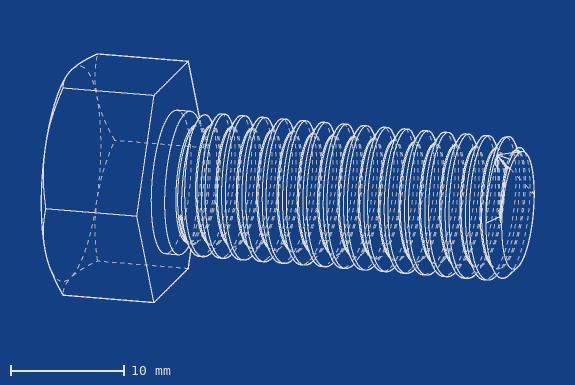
import cadquery as cq
import math

bolt_length = 41.0
across_flats = 19.05
head_height = 9.2
head_chamfer_angle = 30.0

thread_diameter = 12.7
thread_turns = 16
thread_depth = 1.05
flank_width = 0.7
root_width = 0.12

shoulder_length = 1.25
relief_depth = 1.15
relief_root_width = 0.15
tip_chamfer = 1.15
seam_angle = 37.0
cutter_overshoot = 0.1

across_corners = across_flats / math.cos(math.radians(30))
thread_radius = thread_diameter / 2
root_radius = thread_radius - thread_depth
relief_radius = thread_radius - relief_depth
thread_start = head_height + shoulder_length + flank_width
groove_start = thread_start + root_width / 2
thread_pitch = (bolt_length - groove_start) / thread_turns


def make_head():
    """Hexagon with corners on +Y and -Y, its outer face chamfered by a cone."""
    hexagon = cq.Workplane("YZ").polygon(6, across_corners).extrude(head_height)
    face_radius = across_flats / 2
    corner_radius = across_corners / 2
    chamfer_length = (corner_radius - face_radius) * math.tan(math.radians(head_chamfer_angle))
    envelope = (
        cq.Workplane("XY")
        .moveTo(0, 0)
        .lineTo(0, face_radius)
        .lineTo(2 * chamfer_length, 2 * corner_radius - face_radius)
        .lineTo(head_height, 2 * corner_radius - face_radius)
        .lineTo(head_height, 0)
        .close()
        .revolve(360, (0, 0, 0), (1, 0, 0))
    )
    return hexagon.intersect(envelope)


def make_shank_envelope():
    """Plain shoulder, V-shaped relief groove, threaded length and chamfered tip."""
    return (
        cq.Workplane("XY")
        .moveTo(head_height, 0)
        .lineTo(head_height, thread_radius)
        .lineTo(head_height + shoulder_length, thread_radius)
        .lineTo(thread_start, relief_radius)
        .lineTo(thread_start + relief_root_width, relief_radius)
        .lineTo(thread_start + relief_root_width + flank_width, thread_radius)
        .lineTo(bolt_length - tip_chamfer, thread_radius)
        .lineTo(bolt_length, thread_radius - tip_chamfer)
        .lineTo(bolt_length, 0)
        .close()
        .revolve(360, (0, 0, 0), (1, 0, 0))
    )


def make_thread_cutter():
    """Right-hand helical groove that starts in the relief and runs out past the tip."""
    groove_length = bolt_length - groove_start + thread_pitch
    helix = cq.Wire.makeHelix(thread_pitch, groove_length, root_radius)
    outer_radius = thread_radius + cutter_overshoot
    half_root = root_width / 2
    half_mouth = half_root + flank_width * (outer_radius - root_radius) / thread_depth
    cutter = (
        cq.Workplane("XZ")
        .moveTo(root_radius, -half_root)
        .lineTo(outer_radius, -half_mouth)
        .lineTo(outer_radius, half_mouth)
        .lineTo(root_radius, half_root)
        .close()
        .sweep(cq.Workplane(obj=helix), isFrenet=True)
    )
    return (
        cutter.rotate((0, 0, 0), (0, 1, 0), 90)
        .rotate((0, 0, 0), (1, 0, 0), -90)
        .translate((groove_start, 0, 0))
    )


def make_threaded_shank():
    """Rod with the thread cut into it, trimmed to the shank envelope."""
    rod = (
        cq.Workplane("YZ")
        .circle(thread_radius)
        .extrude(bolt_length)
        .rotate((0, 0, 0), (1, 0, 0), seam_angle)
    )
    return rod.cut(make_thread_cutter()).intersect(make_shank_envelope())


result = make_head().union(make_threaded_shank())